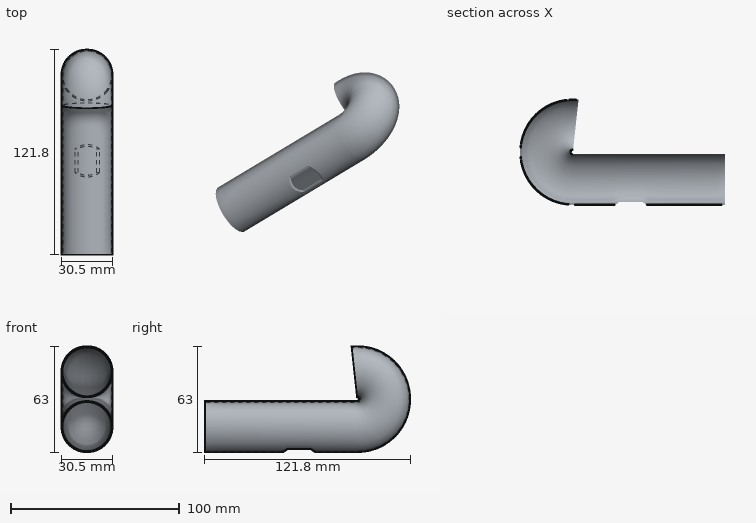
import cadquery as cq

outer_diameter = 30.5
inner_diameter = 29.0
overall_length = 121.8
overall_height = 63.0
bend_angle = 186.2

outer_radius = outer_diameter / 2
bend_outer_radius = overall_height / 2
bend_radius = bend_outer_radius - outer_radius
straight_length = overall_length - bend_outer_radius

notch_center = 55.9
notch_mouth_length = 19.2
notch_floor_length = 14.1
notch_depth = 1.8


def hooked_rod_sections(diameter):
    """Straight rod along +Y, and the bend at its far end curling up and back."""
    straight = cq.Workplane("XZ").circle(diameter / 2).extrude(-straight_length)
    bend = (
        cq.Workplane("XZ", origin=(0, straight_length, 0))
        .circle(diameter / 2)
        .revolve(bend_angle, (-1.2, bend_radius), (1.2, bend_radius))
    )
    return straight, bend


def underside_notch():
    """Trapezoidal prism along X, wider at the bottom of the tube."""
    return (
        cq.Workplane("YZ")
        .polyline([
            (notch_center - notch_mouth_length / 2, -outer_radius),
            (notch_center + notch_mouth_length / 2, -outer_radius),
            (notch_center + notch_floor_length / 2, -outer_radius + notch_depth),
            (notch_center - notch_floor_length / 2, -outer_radius + notch_depth),
        ])
        .close()
        .extrude(outer_radius, both=True)
    )


outer_straight, outer_bend = hooked_rod_sections(outer_diameter)
inner_straight, inner_bend = hooked_rod_sections(inner_diameter)

straight_tube = outer_straight.cut(inner_straight).cut(underside_notch())
bend_tube = outer_bend.cut(inner_bend)

result = straight_tube.union(bend_tube, clean=False)